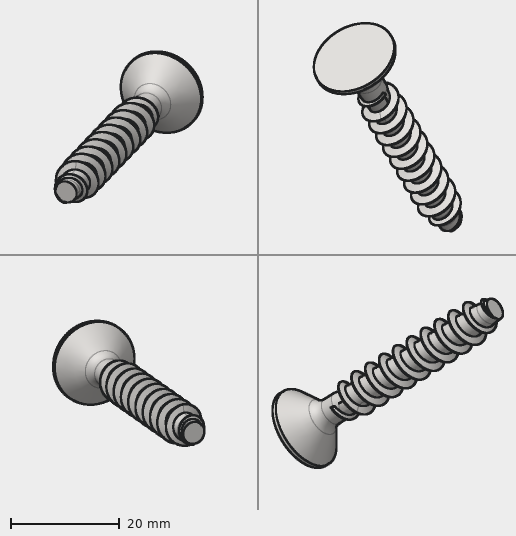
import cadquery as cq
import math

length = 50.0

head_radius = 7.9
rim_depth = 0.9
shank_radius = 2.65
shank_end = 10.1
neck_fillet = 3.2
cone_depth = head_radius - shank_radius

core_radius = 2.3
core_start = 12.25
tip_radius = 2.1
tip_start = 47.5

pitch = 3.6
first_crest_depth = 11.3
crest_radius = 4.0
crest_width = 0.15
root_width = 1.1
buried_radius = 1.5
ramp_top_radius = 2.55
ramp_clearance = 0.015
ramp_end_radius = core_radius - ramp_clearance
ramp_end_gap = 0.1
start_crest_radius = 3.1
end_crest_radius = 2.25
end_crest_width = 0.1
end_root_width = 0.4
end_ramp_radius = 1.75

start_turn = -0.4
full_turn = 0.75
fade_turn = 9.25
end_turn = 10.75

points_per_turn = 16


def make_body():
    """Head, filleted neck, shank and core as one revolved solid."""
    cone_angle = math.radians(45)
    half_angle = cone_angle / 2
    corner_depth = rim_depth + cone_depth
    tangent_length = neck_fillet * math.tan(half_angle)
    tangent_leg = tangent_length * math.cos(cone_angle)
    fillet_start = (shank_radius + tangent_leg, -(corner_depth - tangent_leg))
    fillet_end = (shank_radius, -(corner_depth + tangent_length))
    fillet_middle = (
        shank_radius + neck_fillet * (1 - math.cos(half_angle)),
        fillet_end[1] + neck_fillet * math.sin(half_angle),
    )
    return (
        cq.Workplane("XY")
        .moveTo(0, 0)
        .lineTo(head_radius, 0)
        .lineTo(head_radius, -rim_depth)
        .lineTo(*fillet_start)
        .threePointArc(fillet_middle, fillet_end)
        .lineTo(shank_radius, -shank_end)
        .lineTo(core_radius, -core_start)
        .lineTo(core_radius, -tip_start)
        .lineTo(tip_radius, -length)
        .lineTo(0, -length)
        .close()
        .revolve(360, (0, 0, 0), (0, 1, 0))
    )


def thread_profile(crest, crest_land, root_land, ramp_top, ramp_end_radius):
    """(axial offset, radius) corners of the ridge and the ramp behind it."""
    ramp_end_offset = pitch - root_width / 2 - ramp_end_gap
    return [
        (-root_land / 2, buried_radius),
        (-root_land / 2, ramp_end_radius),
        (-crest_land / 2, crest),
        (crest_land / 2, crest),
        (root_land / 2, ramp_top),
        (ramp_end_offset, ramp_end_radius),
        (ramp_end_offset, buried_radius),
    ]


def helix_edge(start, end, first_turn, last_turn):
    """Helix whose offset and radius change evenly from start to end."""
    steps = math.ceil((last_turn - first_turn) * points_per_turn)
    fractions = [i / steps for i in range(steps + 1)]
    points = []
    for fraction in fractions:
        turn = first_turn + fraction * (last_turn - first_turn)
        offset = start[0] + fraction * (end[0] - start[0])
        radius = start[1] + fraction * (end[1] - start[1])
        angle = 2 * math.pi * turn
        depth = first_crest_depth + pitch * turn + offset
        points.append(cq.Vector(radius * math.cos(angle), -depth, radius * math.sin(angle)))
    return cq.Edge.makeSpline(points, parameters=fractions)


def make_strip(start_profile, end_profile, first_turn, last_turn):
    """Closed helical strip between two profiles in planes through the axis."""
    edges = [
        helix_edge(start, end, first_turn, last_turn)
        for start, end in zip(start_profile, end_profile)
    ]
    faces = [
        cq.Face.makeRuledSurface(edge, following)
        for edge, following in zip(edges, edges[1:] + edges[:1])
    ]
    for position in (0, 1):
        corners = [edge.positionAt(position) for edge in edges]
        faces.append(cq.Face.makeFromWires(cq.Wire.makePolygon(corners, close=True)))
    return cq.Solid.makeSolid(cq.Shell.makeShell(faces)).fix()


start_profile = thread_profile(
    start_crest_radius, crest_width, root_width, ramp_top_radius, ramp_end_radius
)
full_profile = thread_profile(
    crest_radius, crest_width, root_width, ramp_top_radius, ramp_end_radius
)
end_profile = thread_profile(
    end_crest_radius, end_crest_width, end_root_width, tip_radius, end_ramp_radius
)

strips = [
    make_strip(start_profile, full_profile, start_turn, full_turn),
    make_strip(full_profile, full_profile, full_turn, fade_turn),
    make_strip(full_profile, end_profile, fade_turn, end_turn),
]

screw = make_body()
for strip in strips:
    screw = screw.union(cq.Workplane(obj=strip))

envelope = cq.Workplane("XZ").circle(2 * head_radius).extrude(length)
result = screw.intersect(envelope)